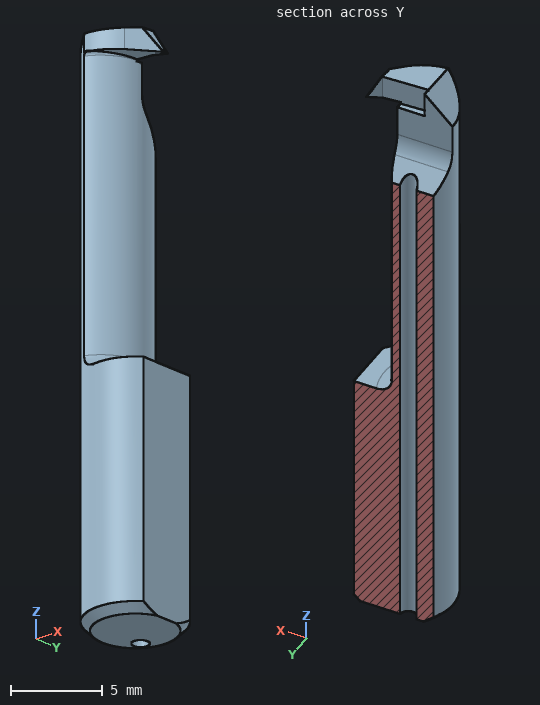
import cadquery as cq
import math

LENGTH = 35.0
SHANK_RADIUS = 3.0
FLAT_X = 2.362
BOTTOM_CHAMFER = 0.52

SHOULDER_Z = 14.98
NECK_RIGHT_X = 0.42
NECK_RADIUS = 3.0
NECK_CENTER_X = NECK_RIGHT_X - NECK_RADIUS
NECK_FILLET = 0.85

HEAD_LEFT_X = -1.278
HEAD_CORNER = (0.85, -1.75)
HEAD_ARC_MIDDLE = (-0.07, -2.38)
TIP_X = 2.35
TIP_SETBACK = 0.1
TIP_FRONT_Y = -0.3
HEAD_BOTTOM_Z = 33.5
HEAD_TOP_RIGHT_X = 1.55
HEAD_RELIEF_ANGLE = 2.5
BACK_BEVEL_DROP = 1.6
BACK_BEVEL_TURN = 3.5
UNDERCUT_FILLET = 0.2
NECK_TOP_Z = HEAD_BOTTOM_Z + 0.25
CORE_TOP_Z = NECK_TOP_Z + 0.18

RAKE_Y = 0.1
RUNOUT_LOW_Z = 28.05
RUNOUT_CORNER_Z = 31.0
RUNOUT_EDGE_Y = 2.745
RUNOUT_FILLET = 1.65

GROOVE_LEFT_Y = -0.35
GROOVE_RIGHT_Y = -0.2
GROOVE_RIGHT_X = 1.5

COOLANT_DIAMETER = 1.0
COOLANT_CENTER = (-1.0, 1.5)

MARGIN = 1.75
FAR = 2 * SHANK_RADIUS


def make_bar():
    bar = cq.Workplane("XY").circle(SHANK_RADIUS).extrude(LENGTH)
    bar = bar.faces("<Z").chamfer(BOTTOM_CHAMFER)
    keep = cq.Workplane("XY").box(FAR + FLAT_X, 2 * FAR, LENGTH, centered=(False, True, False))
    return bar.intersect(keep.translate((-FAR, 0, 0)))


def make_body_envelope():
    """Solid of revolution about the neck axis: wide base, fillet, neck."""
    fillet_45 = NECK_FILLET * (1 - math.sqrt(0.5))
    return (
        cq.Workplane("XZ")
        .lineTo(2 * FAR, 0)
        .lineTo(2 * FAR, SHOULDER_Z)
        .lineTo(NECK_RADIUS + NECK_FILLET, SHOULDER_Z)
        .threePointArc(
            (NECK_RADIUS + fillet_45, SHOULDER_Z + fillet_45),
            (NECK_RADIUS, SHOULDER_Z + NECK_FILLET),
        )
        .lineTo(NECK_RADIUS, NECK_TOP_Z - UNDERCUT_FILLET)
        .radiusArc((NECK_RADIUS + UNDERCUT_FILLET, NECK_TOP_Z), UNDERCUT_FILLET)
        .lineTo(NECK_RADIUS, NECK_TOP_Z)
        .lineTo(NECK_RADIUS, CORE_TOP_Z)
        .lineTo(0, CORE_TOP_Z)
        .close()
        .revolve(360, (0, 0), (0, 1))
        .translate((NECK_CENTER_X, 0, 0))
    )


def make_head():
    """Hooked tip; its faces fall back from the rake face for relief."""
    left_y = -math.sqrt(SHANK_RADIUS**2 - HEAD_LEFT_X**2)
    plan = (
        cq.Workplane("XY", origin=(0, 0, HEAD_BOTTOM_Z - MARGIN))
        .moveTo(-SHANK_RADIUS, RAKE_Y)
        .lineTo(-SHANK_RADIUS, left_y)
        .lineTo(HEAD_LEFT_X, left_y)
        .threePointArc(HEAD_ARC_MIDDLE, HEAD_CORNER)
        .lineTo(TIP_X - TIP_SETBACK, TIP_FRONT_Y)
        .lineTo(TIP_X, RAKE_Y)
        .close()
        .extrude(LENGTH - HEAD_BOTTOM_Z + 2 * MARGIN)
    )
    left_bottom_z = NECK_TOP_Z - UNDERCUT_FILLET / 2
    profile = (
        cq.Workplane("XZ", origin=(0, RAKE_Y, 0))
        .moveTo(-FAR, left_bottom_z)
        .lineTo(HEAD_LEFT_X, left_bottom_z)
        .lineTo(TIP_X, HEAD_BOTTOM_Z)
        .lineTo(HEAD_TOP_RIGHT_X, LENGTH)
        .lineTo(-FAR, LENGTH)
        .close()
        .extrude(SHANK_RADIUS + RAKE_Y, taper=HEAD_RELIEF_ANGLE)
    )
    return plan.intersect(profile)


def make_runout_cut():
    slope = (RUNOUT_CORNER_Z - RUNOUT_LOW_Z) / (RUNOUT_EDGE_Y - RAKE_Y)
    low_z = RUNOUT_CORNER_Z - slope * (FAR - RAKE_Y)
    cut = (
        cq.Workplane("YZ", origin=(-FAR, 0, 0))
        .moveTo(RAKE_Y, LENGTH + MARGIN)
        .lineTo(RAKE_Y, RUNOUT_CORNER_Z)
        .lineTo(FAR, low_z)
        .lineTo(FAR, LENGTH + MARGIN)
        .close()
        .extrude(2 * FAR)
    )
    corner = cq.selectors.NearestToPointSelector((0, RAKE_Y, RUNOUT_CORNER_Z))
    return cut.edges(corner).fillet(RUNOUT_FILLET)


def make_back_bevel_cut():
    """Wedge above a plane falling from the head to the back of the bar."""
    slope = BACK_BEVEL_DROP / (SHANK_RADIUS + HEAD_LEFT_X)
    return (
        cq.Workplane("XZ", origin=(0, FAR, 0))
        .moveTo(HEAD_LEFT_X, LENGTH)
        .lineTo(-FAR, LENGTH - slope * (FAR + HEAD_LEFT_X))
        .lineTo(-FAR, LENGTH + MARGIN)
        .lineTo(HEAD_LEFT_X, LENGTH + MARGIN)
        .close()
        .extrude(2 * FAR)
        .rotate((HEAD_LEFT_X, RAKE_Y, 0), (HEAD_LEFT_X, RAKE_Y, 1), BACK_BEVEL_TURN)
    )


def make_chip_groove():
    return (
        cq.Workplane("XY", origin=(0, 0, HEAD_BOTTOM_Z))
        .polyline([
            (HEAD_LEFT_X, RAKE_Y),
            (HEAD_LEFT_X, GROOVE_LEFT_Y),
            (GROOVE_RIGHT_X, GROOVE_RIGHT_Y),
            (TIP_X, RAKE_Y),
        ])
        .close()
        .extrude(MARGIN)
    )


def make_coolant_hole():
    return cq.Workplane("XY").center(*COOLANT_CENTER).circle(COOLANT_DIAMETER / 2).extrude(LENGTH)


body = make_bar().intersect(make_body_envelope())
result = body.union(make_head().intersect(make_bar()))
result = result.cut(make_runout_cut())
result = result.cut(make_back_bevel_cut())
result = result.cut(make_chip_groove())
result = result.cut(make_coolant_hole())